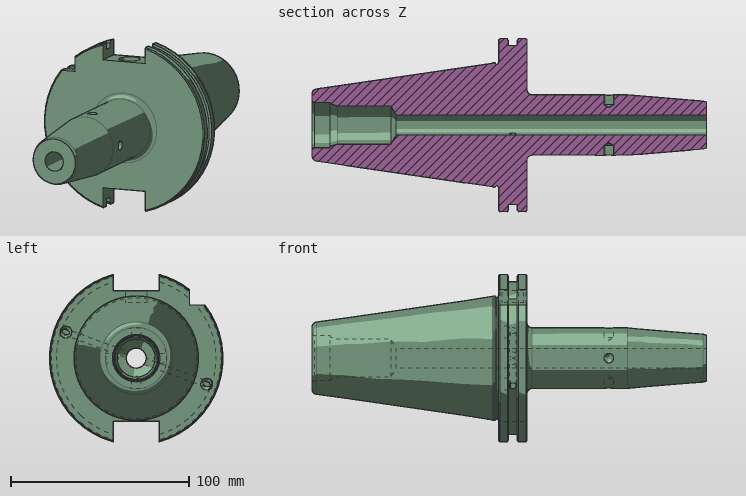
import cadquery as cq
import math

total_length = 221.8
gauge_x = 101.8
flange_start = 104.9
flange_end = 120.9
groove_x = 112.9
shank_cone_start = 177.2

gauge_radius = 34.8
taper_ratio = 7 / 24
taper_end_radius = gauge_radius - gauge_x * taper_ratio / 2
taper_edge_fillet = 3.0

land_radius = 35.0
land_width = 1.0
relief_radius = 34.0
relief_x = (gauge_x + land_width + flange_start) / 2

flange_radius = 48.8
flange_chamfer = 0.7
groove_bottom_radius = 44.8
groove_bottom_width = 4.9
groove_top_width = 6.2
groove_wall_angle = 30.0
groove_side = (groove_top_width - groove_bottom_width) / 2
groove_wall_foot = flange_radius - groove_side / math.tan(math.radians(groove_wall_angle))

shank_radius = 17.0
shank_tip_radius = 13.5
shank_tip_chamfer_length = 2.0
shank_tip_chamfer_depth = 0.7
shank_root_fillet = 2.9

mouth_radius = 13.3
mouth_chamfer_length = 1.5
counterbore_radius = 12.6
counterbore_depth = 10.2
countersink_radius = 12.0
countersink_length = 4.2
thread_radius = 10.6
thread_depth = 44.4
bore_radius = 5.5
drill_cone_angle = 59.0

slot_width = 25.7
upper_slot_floor = 38.0
lower_slot_floor = -35.5
notch_offset = 30.0
slot_hole_radius = 6.0
slot_hole_depth = 6.7

channel_angle = 20.3
channel_pitch_radius = 42.1
face_hole_radius = 3.3
face_hole_depth = 5.5
channel_radius = 1.8

shank_hole_x = 166.8
shank_hole_radius = 2.7
shank_hole_depth = 5.5

cut_reach = flange_radius + 2.2


def revolve_about_x(points):
    profile = cq.Workplane("XY").polyline(points).close()
    return profile.revolve(360, (0, 0, 0), (1, 0, 0))


def radial_direction(angle):
    return cq.Vector(0, math.cos(math.radians(angle)), math.sin(math.radians(angle)))


def radial_cylinder(x, angle, radius, inner, outer):
    """Cylinder pointing away from the X axis, between two distances from it."""
    direction = radial_direction(angle)
    start = direction * inner + cq.Vector(x, 0, 0)
    return cq.Workplane(cq.Solid.makeCylinder(radius, outer - inner, start, direction))


def drill_cone_length(radius_change):
    return radius_change / math.tan(math.radians(drill_cone_angle))


def drilled_hole(start, direction, radius, depth):
    """Blind hole with a drill point, going from start along direction."""
    tip = drill_cone_length(radius)
    barrel = cq.Workplane(cq.Solid.makeCylinder(radius, depth, start, direction))
    point = cq.Workplane(cq.Solid.makeCone(radius, 0, tip, start + direction * depth, direction))
    return barrel.union(point)


def make_taper():
    cone = revolve_about_x([
        (0, 0), (0, taper_end_radius), (gauge_x, gauge_radius), (gauge_x, land_radius),
        (gauge_x + land_width, land_radius), (relief_x, relief_radius),
        (flange_start, land_radius), (flange_start, 0),
    ])
    return cone.faces("<X").edges().fillet(taper_edge_fillet)


def make_disc():
    disc = cq.Workplane("YZ", origin=(flange_start, 0, 0)).circle(flange_radius)
    disc = disc.extrude(flange_end - flange_start)
    return disc.faces("<X or >X").edges().chamfer(flange_chamfer)


def make_groove():
    half_bottom = groove_bottom_width / 2
    half_top = groove_top_width / 2
    return revolve_about_x([
        (groove_x - half_top, cut_reach), (groove_x - half_top, flange_radius),
        (groove_x - half_bottom, groove_wall_foot), (groove_x - half_bottom, groove_bottom_radius),
        (groove_x + half_bottom, groove_bottom_radius), (groove_x + half_bottom, groove_wall_foot),
        (groove_x + half_top, flange_radius), (groove_x + half_top, cut_reach),
    ])


def flange_cutter(y_low, y_high, z_low, z_high):
    """Block across the full flange thickness."""
    block = cq.Workplane("XY", origin=(flange_start, y_low, z_low))
    return block.box(flange_end - flange_start, y_high - y_low, z_high - z_low, centered=False)


def make_flange():
    half_slot = slot_width / 2
    slot_hole_floor = upper_slot_floor - slot_hole_depth
    flange = make_disc().cut(make_groove())
    flange = flange.cut(flange_cutter(-half_slot, half_slot, upper_slot_floor, cut_reach))
    flange = flange.cut(flange_cutter(-half_slot, half_slot, -cut_reach, lower_slot_floor))
    flange = flange.cut(flange_cutter(-cut_reach, -notch_offset, notch_offset, cut_reach))
    return flange.cut(radial_cylinder(groove_x, 90, slot_hole_radius, slot_hole_floor, cut_reach))


def make_shank():
    tip_cone_start = total_length - shank_tip_chamfer_length
    profile = (
        cq.Workplane("XY")
        .moveTo(flange_start, 0)
        .lineTo(flange_start, shank_radius + shank_root_fillet)
        .lineTo(flange_end, shank_radius + shank_root_fillet)
        .radiusArc((flange_end + shank_root_fillet, shank_radius), -shank_root_fillet)
        .lineTo(shank_cone_start, shank_radius)
        .lineTo(tip_cone_start, shank_tip_radius)
        .lineTo(total_length, shank_tip_radius - shank_tip_chamfer_depth)
        .lineTo(total_length, 0)
        .close()
    )
    return profile.revolve(360, (0, 0, 0), (1, 0, 0))


def make_bore():
    cone_end = thread_depth + drill_cone_length(thread_radius - bore_radius)
    return revolve_about_x([
        (0, 0), (0, mouth_radius), (mouth_chamfer_length, counterbore_radius),
        (counterbore_depth, counterbore_radius), (counterbore_depth, countersink_radius),
        (counterbore_depth + countersink_length, thread_radius),
        (thread_depth, thread_radius), (cone_end, bore_radius),
        (total_length, bore_radius), (total_length, 0),
    ])


result = make_taper().union(make_flange()).union(make_shank()).cut(make_bore())

for angle in (channel_angle, channel_angle + 180):
    hole_start = radial_direction(angle) * channel_pitch_radius + cq.Vector(flange_start, 0, 0)
    result = result.cut(drilled_hole(hole_start, cq.Vector(1, 0, 0), face_hole_radius, face_hole_depth))
    result = result.cut(radial_cylinder(groove_x, angle, channel_radius, 0, cut_reach))

for angle in (0, 90, 180, 270):
    inward = -radial_direction(angle)
    hole_start = radial_direction(angle) * shank_radius + cq.Vector(shank_hole_x, 0, 0)
    result = result.cut(drilled_hole(hole_start, inward, shank_hole_radius, shank_hole_depth))